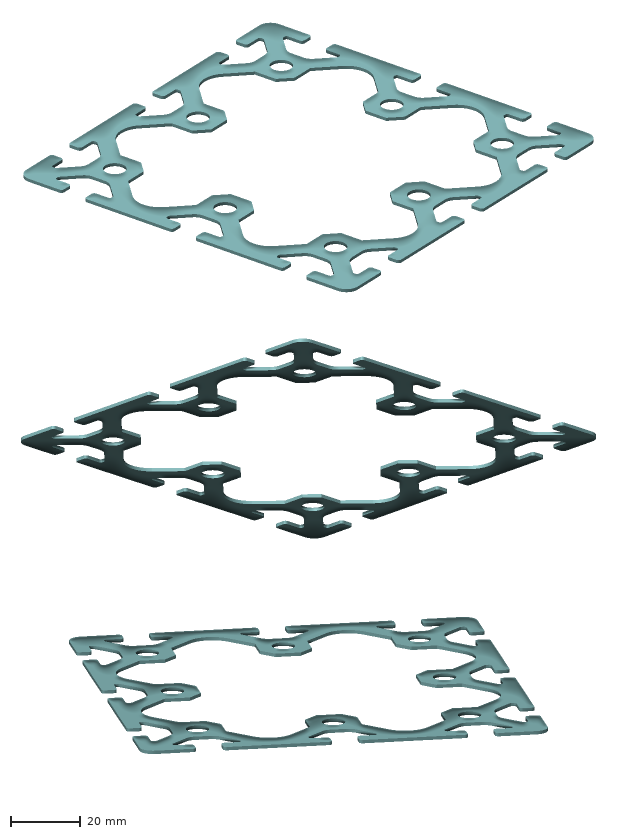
import cadquery as cq
import math

side = 120.0
thickness = 1.0
corner_radius = 4.0

pitch = 40.0
edge_to_channel = 20.0
channel_diameter = 6.8
channel_line = side / 2 - edge_to_channel
channel_positions = (-pitch, 0, pitch)
channel_centers = [(x, y) for x in channel_positions for y in channel_positions if (x, y) != (0, 0)]

slot_opening = 8.0
lip_thickness = 4.5
lip_fillet = 1.0
slot_inner_width = 20.0
slot_corner_fillet = 0.75
slot_floor_fillet = 4.0
slot_floor_height = 7.75

boss_half_width = 7.65
boss_flat_half = 3.75
rib_outer_offset = 3.9
bay_radius = 8.0


def turn_to_side(body, quarter):
    """Turn a body made for the +Y side to another side of the plate."""
    return body.rotate((0, 0, 0), (0, 0, 1), 90 * quarter)


def make_plate():
    """Square plate with rounded corners."""
    return (
        cq.Workplane("XY")
        .rect(side, side)
        .extrude(thickness)
        .edges("|Z")
        .fillet(corner_radius)
    )


def make_slot(channel_x):
    """T-slot open to the +Y side, in front of the channel at channel_x."""
    half_opening = slot_opening / 2
    margin = lip_fillet / 2
    half_inner = slot_inner_width / 2
    outer_y = side / 2
    lip_y = outer_y - lip_thickness
    floor_y = channel_line + slot_floor_height
    flank_top_y = channel_line + half_inner + rib_outer_offset
    floor_half = slot_floor_height - rib_outer_offset

    pocket = (
        cq.Workplane("XY")
        .polyline(
            [
                (channel_x - half_inner, lip_y),
                (channel_x - half_inner, flank_top_y),
                (channel_x - floor_half, floor_y),
                (channel_x + floor_half, floor_y),
                (channel_x + half_inner, flank_top_y),
                (channel_x + half_inner, lip_y),
            ]
        )
        .close()
        .extrude(thickness)
    )
    pocket = pocket.edges("|Z and <Y").fillet(slot_floor_fillet)
    pocket = pocket.edges("|Z and (<X or >X)").fillet(slot_corner_fillet)

    mouth = cq.Workplane("XY").box(
        slot_opening, lip_thickness, thickness, centered=(True, False, False)
    )
    clearance = cq.Workplane("XY").box(
        slot_inner_width, lip_thickness, thickness, centered=(True, False, False)
    )
    cutter = pocket.union(mouth.translate((channel_x, lip_y, 0)))
    cutter = cutter.union(clearance.translate((channel_x, outer_y, 0)))

    mouth_box = cq.selectors.BoxSelector(
        (channel_x - half_opening - margin, lip_y - margin, -margin),
        (channel_x + half_opening + margin, outer_y + margin, thickness + margin),
    )
    return cutter.edges("|Z").edges(mouth_box).fillet(lip_fillet)


def make_bay():
    """Round-topped opening between two neighbouring bosses on the +Y side, centred on X = 0."""
    half_width = pitch / 2 - boss_half_width
    spring_y = channel_line + boss_flat_half
    apex_y = spring_y + half_width
    arc_centre_y = apex_y - bay_radius * math.sqrt(2)
    tangent_offset = bay_radius / math.sqrt(2)
    tangent_y = arc_centre_y + tangent_offset
    return (
        cq.Workplane("XY")
        .moveTo(-half_width, 0)
        .lineTo(-half_width, spring_y)
        .lineTo(-tangent_offset, tangent_y)
        .threePointArc((0, arc_centre_y + bay_radius), (tangent_offset, tangent_y))
        .lineTo(half_width, spring_y)
        .lineTo(half_width, 0)
        .close()
        .extrude(thickness)
    )


def make_boss(center):
    """Octagonal boss around one channel."""
    return (
        cq.Workplane("XY")
        .center(*center)
        .rect(2 * boss_half_width, 2 * boss_half_width)
        .extrude(thickness)
        .edges("|Z")
        .chamfer(boss_half_width - boss_flat_half)
    )


def make_cavity():
    """Central opening: a square reaching the channel lines, less the bosses, plus the bays."""
    cavity = cq.Workplane("XY").rect(2 * channel_line, 2 * channel_line).extrude(thickness)
    for center in channel_centers:
        cavity = cavity.cut(make_boss(center))
    for quarter in range(4):
        for bay_x in (-pitch / 2, pitch / 2):
            bay = make_bay().translate((bay_x, 0, 0))
            cavity = cavity.union(turn_to_side(bay, quarter))
    return cavity


plate = make_plate()
for quarter in range(4):
    for channel_x in channel_positions:
        plate = plate.cut(turn_to_side(make_slot(channel_x), quarter))
plate = plate.cut(make_cavity())

channels = (
    cq.Workplane("XY")
    .pushPoints(channel_centers)
    .circle(channel_diameter / 2)
    .extrude(thickness)
)
result = plate.cut(channels)